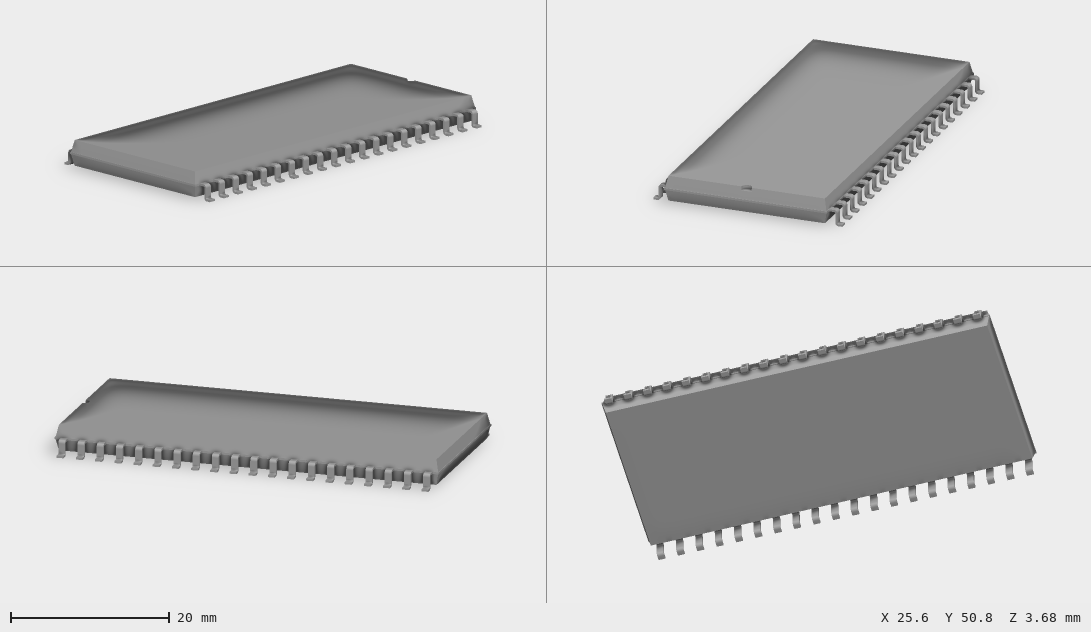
import cadquery as cq
import math

body_width = 22.05
body_length = 50.8
body_bottom = 0.32
body_top = 3.68
band_bottom = 1.85
band_top = 2.12
band_proud = 0.09
draft_angle = 12
draft_slope = math.tan(math.radians(draft_angle))
half_width = body_width - 2 * band_proud
half_length = body_length - 2 * band_proud
top_face_length = half_length - 2 * draft_slope * (body_top - band_top)

notch_radius = 0.7
notch_depth = 0.5
notch_center_y = top_face_length / 2

leads_per_side = 20
lead_pitch = 2.54
lead_width = 0.9
lead_thickness = band_top - band_bottom
lead_span = 25.61
foot_length = 0.95
bend_inner_radius = 0.15
bend_outer_radius = bend_inner_radius + lead_thickness
lead_embed = 0.5


def tapered_half(start_z, end_z):
    """Frustum with its wide face at start_z, narrowing by the draft angle toward end_z."""
    inset = draft_slope * abs(end_z - start_z)
    return (
        cq.Workplane("XY")
        .workplane(offset=start_z)
        .rect(half_width, half_length)
        .workplane(offset=end_z - start_z)
        .rect(half_width - 2 * inset, half_length - 2 * inset)
        .loft(ruled=True, combine=True)
    )


def make_body():
    """Upper half, parting band and lower half, with the index notch cut out."""
    band = (
        cq.Workplane("XY")
        .workplane(offset=band_bottom)
        .rect(body_width, body_length)
        .extrude(band_top - band_bottom)
    )
    upper = tapered_half(band_top, body_top)
    lower = tapered_half(band_bottom, body_bottom)
    notch = (
        cq.Workplane("XY")
        .workplane(offset=body_top - notch_depth)
        .center(0, notch_center_y)
        .circle(notch_radius)
        .extrude(notch_depth)
    )
    return band.union(upper).union(lower).cut(notch)


def make_lead():
    """One +X side lead, centred on Y = 0, bent down and then outward."""
    root_x = body_width / 2 - lead_embed
    tip_x = lead_span / 2
    upright_inner_x = tip_x - foot_length
    upright_outer_x = upright_inner_x + lead_thickness
    profile = (
        cq.Workplane("XZ")
        .workplane(offset=-lead_width / 2)
        .moveTo(root_x, band_top)
        .lineTo(upright_outer_x - bend_outer_radius, band_top)
        .radiusArc((upright_outer_x, band_top - bend_outer_radius), bend_outer_radius)
        .lineTo(upright_outer_x, lead_thickness + bend_inner_radius)
        .radiusArc((upright_outer_x + bend_inner_radius, lead_thickness), -bend_inner_radius)
        .lineTo(tip_x, lead_thickness)
        .lineTo(tip_x, 0)
        .lineTo(upright_inner_x + bend_outer_radius, 0)
        .radiusArc((upright_inner_x, bend_outer_radius), bend_outer_radius)
        .lineTo(upright_inner_x, band_bottom - bend_inner_radius)
        .radiusArc((upright_inner_x - bend_inner_radius, band_bottom), -bend_inner_radius)
        .lineTo(root_x, band_bottom)
        .close()
    )
    return profile.extrude(lead_width)


def add_leads(body):
    """Join a row of leads to each long side of the body."""
    right_lead = make_lead()
    left_lead = right_lead.mirror("YZ")
    first_y = -(leads_per_side - 1) * lead_pitch / 2
    for index in range(leads_per_side):
        offset = (0, first_y + index * lead_pitch, 0)
        body = body.union(right_lead.translate(offset))
        body = body.union(left_lead.translate(offset))
    return body


result = add_leads(make_body())